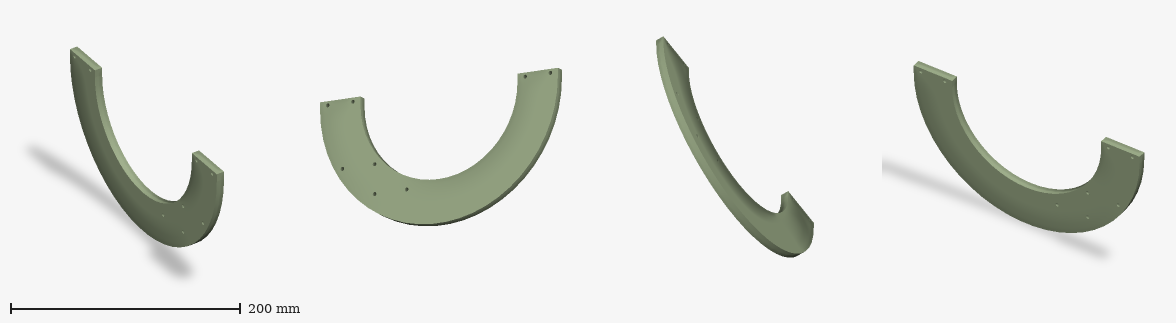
import cadquery as cq

outer_radius = 117.3
inner_radius = 77.5
thickness = 7.5
end_extension = 7.5

hole_diameter = 3.5

end_hole_spacing = 24.9
end_hole_height = end_extension / 2
arm_centre = (outer_radius + inner_radius) / 2

mount_pitch = 31.7
mount_shared_x = 63.5
mount_upper_z = -55.5
mount_row_gap = 27.0


def half_ring():
    """U-shaped plate: two concentric half circles with short straight ends."""
    return (
        cq.Workplane("XZ")
        .moveTo(-outer_radius, end_extension)
        .lineTo(-outer_radius, 0)
        .threePointArc((0, -outer_radius), (outer_radius, 0))
        .lineTo(outer_radius, end_extension)
        .lineTo(inner_radius, end_extension)
        .lineTo(inner_radius, 0)
        .threePointArc((0, -inner_radius), (-inner_radius, 0))
        .lineTo(-inner_radius, end_extension)
        .close()
        .extrude(thickness / 2, both=True)
    )


def through_holes(points):
    """Cylinders passing through the plate at the given (x, z) points."""
    return (
        cq.Workplane("XZ")
        .pushPoints(points)
        .circle(hole_diameter / 2)
        .extrude(thickness, both=True)
    )


end_holes = [
    (side * arm_centre + offset, end_hole_height)
    for side in (-1, 1)
    for offset in (-end_hole_spacing / 2, end_hole_spacing / 2)
]

mount_lower_z = mount_upper_z - mount_row_gap
mount_holes = [
    (mount_shared_x, mount_upper_z),
    (mount_shared_x + mount_pitch, mount_upper_z),
    (mount_shared_x - mount_pitch, mount_lower_z),
    (mount_shared_x, mount_lower_z),
]

result = half_ring().cut(through_holes(end_holes + mount_holes))